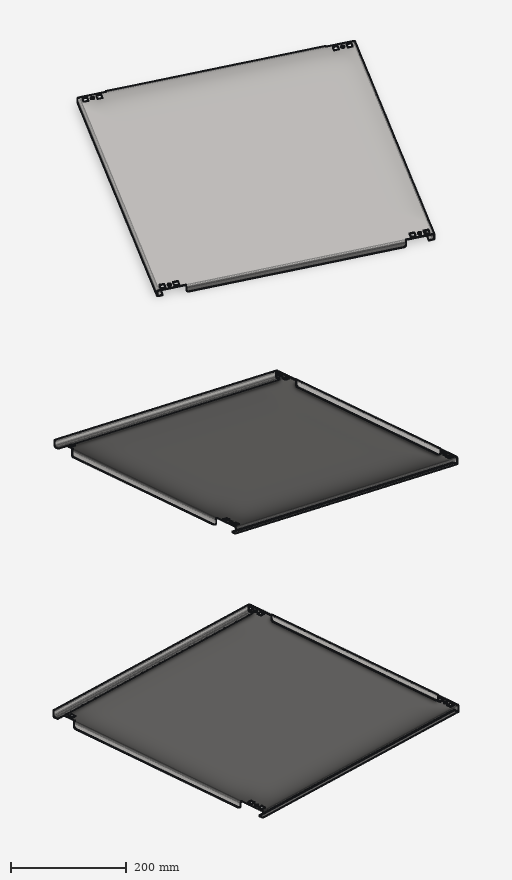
import cadquery as cq

SIZE_X = 499.0
SIZE_Y = 500.0
HEIGHT = 15.0

SHEET = 2.0
BEND_OUTER = 4.0
BEND_INNER = BEND_OUTER - SHEET
LIP_LENGTH = 11.0

PLATE_X = SIZE_X - 2 * BEND_OUTER
PLATE_Y = SIZE_Y - 2 * BEND_OUTER
SIDE_FLANGE_LENGTH = 395.0
SIDE_CORNER_RADIUS = 5.0

HOLE_X = 237.5
HOLE_PITCH = 12.5
ROUND_HOLE_Y = 225.0
SQUARE_HOLE = 9.0
ROUND_HOLE_DIAMETER = 6.0


def flange_section(plane, half_size, with_lip):
    """Closed section of a flange on the positive side, starting at the plate edge."""
    tangent = half_size - BEND_OUTER
    inner = half_size - SHEET
    outer_mid = BEND_OUTER * 0.5 ** 0.5
    inner_mid = BEND_INNER * 0.5 ** 0.5
    top_center = HEIGHT - BEND_OUTER
    section = (
        cq.Workplane(plane)
        .moveTo(tangent, HEIGHT)
        .threePointArc((tangent + outer_mid, top_center + outer_mid), (half_size, top_center))
    )
    if with_lip:
        lip_end = half_size - LIP_LENGTH
        section = (
            section.lineTo(half_size, BEND_OUTER)
            .threePointArc((tangent + outer_mid, BEND_OUTER - outer_mid), (tangent, 0))
            .lineTo(lip_end, 0)
            .lineTo(lip_end, SHEET)
            .lineTo(tangent, SHEET)
            .threePointArc((tangent + inner_mid, BEND_OUTER - inner_mid), (inner, BEND_OUTER))
        )
    else:
        section = section.lineTo(half_size, 0).lineTo(inner, 0)
    return (
        section.lineTo(inner, top_center)
        .threePointArc((tangent + inner_mid, top_center + inner_mid), (tangent, HEIGHT - SHEET))
        .close()
    )


def make_plate():
    return cq.Workplane("XY").workplane(offset=HEIGHT - SHEET).rect(PLATE_X, PLATE_Y).extrude(SHEET)


def make_lipped_flange():
    """Flange along the +Y edge, folded down and back under the plate."""
    return flange_section("YZ", SIZE_Y / 2, True).extrude(PLATE_X / 2, both=True)


def make_side_flange():
    """Plain flange along the +X edge with rounded lower corners."""
    flange = flange_section("XZ", SIZE_X / 2, False).extrude(SIDE_FLANGE_LENGTH / 2, both=True)
    return flange.faces("<Z").edges("|X").fillet(SIDE_CORNER_RADIUS)


def with_opposite(flange, mirror_plane):
    return flange.union(flange.mirror(mirror_plane))


def make_holes():
    """Square and round holes at all four corners, cut through the plate only."""
    base = cq.Workplane("XY").workplane(offset=HEIGHT - SHEET)
    corners = [(sx, sy) for sx in (-1, 1) for sy in (-1, 1)]
    squares = [
        (sx * HOLE_X, sy * (ROUND_HOLE_Y + offset))
        for sx, sy in corners
        for offset in (-HOLE_PITCH, HOLE_PITCH)
    ]
    rounds = [(sx * HOLE_X, sy * ROUND_HOLE_Y) for sx, sy in corners]
    square_holes = base.pushPoints(squares).rect(SQUARE_HOLE, SQUARE_HOLE).extrude(SHEET)
    round_holes = base.pushPoints(rounds).circle(ROUND_HOLE_DIAMETER / 2).extrude(SHEET)
    return square_holes.union(round_holes)


result = (
    make_plate()
    .union(with_opposite(make_lipped_flange(), "XZ"))
    .union(with_opposite(make_side_flange(), "YZ"))
    .cut(make_holes())
    .translate((0, 0, -HEIGHT / 2))
)